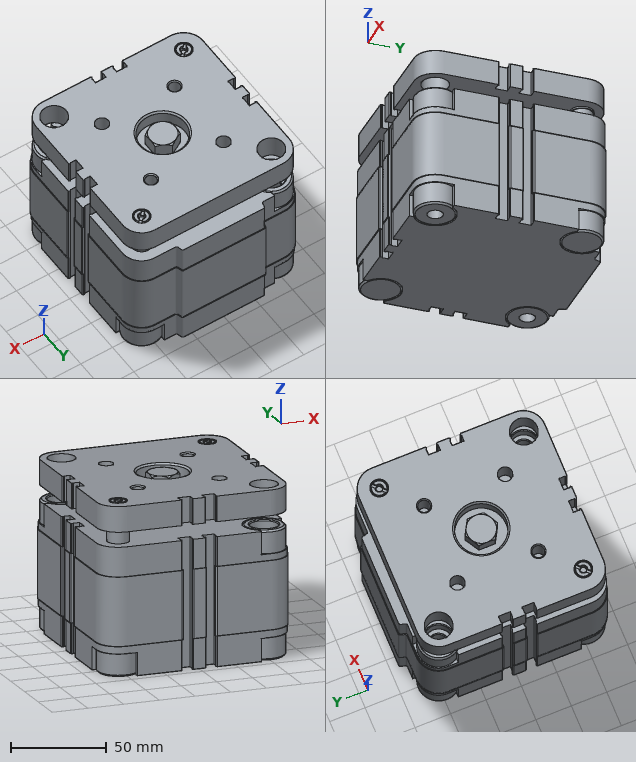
import cadquery as cq
import math

BODY_WIDTH = 106.0
BODY_HEIGHT = 71.0
CORNER_RADIUS = 12.1
BAND_STEP = 0.5
BAND_BOTTOM = 16.9
BAND_TOP = 54.8

RIDGE_HEIGHT = 4.0
RIDGE_TOP_WIDTH = 51.7
RIDGE_BASE_WIDTH = 54.0
RIDGE_FILLET = 1.1
SELECTION_MARGIN = 0.1

SLOT_OFFSET = 6.7
SLOT_HALF_WIDTH = 3.3
SLOT_FLOOR = 48.0
SLOT_SHOULDER = 51.3
LIP = 0.5
BAND_LIP = 1.0

STATION = 40.8

BOSS_RADIUS = 23.0 / 2
BOSS_CHAMFER = 1.0
RELIEF_SIDE = 34.7
RELIEF_HEIGHT = 12.7

MOUNT_DIAMETER = 8.5
THREAD_DIAMETER = 9.8
THREAD_DEPTH = 20.0
THREAD_CHAMFER = 0.5
HEAD_RECESS_DIAMETER = 15.4
HEAD_RECESS_DEPTH = 7.4
HEAD_RECESS_CHAMFER = 0.5

PLATE_WIDTH = 105.0
PLATE_THICKNESS = 14.0
TOTAL_HEIGHT = 93.0
PLATE_BOTTOM = TOTAL_HEIGHT - PLATE_THICKNESS
ACCESS_DIAMETER = 15.0
TAPPED_OFFSET = 22.9
TAPPED_DIAMETER = 6.7
DOWEL_DIAMETER = 8.0
TAPPED_CHAMFER = 0.7
CENTRE_RECESS_DIAMETER = 28.0
CENTRE_RECESS_DEPTH = 8.3
CENTRE_RECESS_CHAMFER = 1.0

PISTON_ROD_DIAMETER = 20.0
FLAT_SPACING = 17.0
FLAT_BOTTOM = 71.8
BOLT_ACROSS_FLATS = 16.0
BOLT_GAP = 0.4
BOLT_CHAMFER_HEIGHT = 1.0

GUIDE_ROD_DIAMETER = 12.0
COLLAR_DIAMETER = 13.0
COLLAR_HEIGHT = 1.0
ROD_DEPTH = 55.5
ROD_BOTTOM = BODY_HEIGHT - ROD_DEPTH
ROD_END_DIAMETER = 9.0
ROD_END_SEAT_DIAMETER = 9.8
ROD_END_CHAMFER = 0.5
ROD_SLOT_WIDTH = 1.8
ROD_SLOT_DEPTH = 1.5
ROD_SOCKET_DIAMETER = 3.5
ROD_SOCKET_CHAMFER = 0.4
ROD_SOCKET_DEPTH = 2.8

ROD_CORNERS = [(1, 1), (-1, -1)]
MOUNT_CORNERS = [(1, -1), (-1, 1)]


def at_offset(corners, offset):
    return [(sx * offset, sy * offset) for sx, sy in corners]


ROD_POINTS = at_offset(ROD_CORNERS, STATION)
MOUNT_POINTS = at_offset(MOUNT_CORNERS, STATION)


def cylinders(points, diameter, bottom, top):
    base = cq.Workplane("XY").workplane(offset=bottom).pushPoints(points)
    return base.circle(diameter / 2).extrude(top - bottom)


def cones(points, bottom_diameter, top_diameter, bottom, top):
    cone = cq.Solid.makeCone(bottom_diameter / 2, top_diameter / 2, top - bottom)
    base = cq.Workplane("XY").workplane(offset=bottom).pushPoints(points)
    return base.eachpoint(cone.moved, combine=True)


def countersinks(points, diameter, chamfer, face):
    """45-degree cones that chamfer the upper rims of holes opening at height face."""
    return cones(points, diameter, diameter + 2 * chamfer, face - chamfer, face)


def rounded_block(width, corner_radius, bottom, top):
    block = cq.Workplane("XY").workplane(offset=bottom).rect(width, width).extrude(top - bottom)
    return block.edges("|Z").fillet(corner_radius)


def slot_cutter(offset, low_lip, high_lip, wall, bottom, top):
    """One T-slot in the -Y wall; each lip is bevelled on its inside and at the mouth."""
    low = offset - SLOT_HALF_WIDTH
    high = offset + SLOT_HALF_WIDTH
    profile = [
        (low, -SLOT_FLOOR),
        (high, -SLOT_FLOOR),
        (high, -SLOT_SHOULDER),
        (high - high_lip, -SLOT_SHOULDER - LIP),
        (high - high_lip, -wall + LIP),
        (high, -wall),
        (low, -wall),
        (low + low_lip, -wall + LIP),
        (low + low_lip, -SLOT_SHOULDER - LIP),
        (low, -SLOT_SHOULDER),
    ]
    return cq.Workplane("XY").workplane(offset=bottom).polyline(profile).close().extrude(top - bottom)


def slot_cutters(wide_lip, wall, bottom, top):
    """Two T-slots in each of three walls; the wide lips are the outer ones on -Y and the +Y ones on X."""
    front = slot_cutter(SLOT_OFFSET, LIP, wide_lip, wall, bottom, top)
    front = front.union(front.mirror("YZ"))
    side = slot_cutter(SLOT_OFFSET, wide_lip, LIP, wall, bottom, top)
    side = side.union(slot_cutter(-SLOT_OFFSET, wide_lip, LIP, wall, bottom, top))
    side = side.rotate((0, 0, 0), (0, 0, 1), -90)
    return front.union(side).union(side.mirror("YZ"))


def ridged_section(width, corner_radius, wide_lip, bottom, top):
    """One height of the housing: rounded square, ridge on +Y and T-slots on the other walls."""
    wall = width / 2
    grow = (width - BODY_WIDTH) / 2
    half_top = RIDGE_TOP_WIDTH / 2 + grow
    half_base = RIDGE_BASE_WIDTH / 2 + grow
    crest = wall + RIDGE_HEIGHT
    ridge = (
        cq.Workplane("XY").workplane(offset=bottom)
        .polyline([(-half_base, 0), (-half_base, wall), (-half_top, crest),
                   (half_top, crest), (half_base, wall), (half_base, 0)])
        .close().extrude(top - bottom)
    )
    section = rounded_block(width, corner_radius, bottom, top).union(ridge)
    ridge_edges = cq.selectors.BoxSelector(
        (-half_base - SELECTION_MARGIN, wall - SELECTION_MARGIN, bottom),
        (half_base + SELECTION_MARGIN, crest + SELECTION_MARGIN, top),
    )
    section = section.edges("|Z").edges(ridge_edges).fillet(RIDGE_FILLET)
    return section.cut(slot_cutters(wide_lip, wall, bottom, top))


def corner_relief(sx, sy, face, inward):
    """Relief around a round corner boss, from an end face; inward is +1 or -1 along Z."""
    reach = BODY_WIDTH / 2
    centre = (sx * STATION, sy * STATION)
    square = (
        cq.Workplane("XY").workplane(offset=face)
        .center(sx * (RELIEF_SIDE + reach / 2), sy * (RELIEF_SIDE + reach / 2))
        .rect(reach, reach).extrude(inward * RELIEF_HEIGHT)
    )
    boss = cq.Workplane("XY").workplane(offset=face).center(*centre).circle(BOSS_RADIUS)
    relief = square.cut(boss.extrude(inward * RELIEF_HEIGHT))
    chamfer_groove = (
        cq.Workplane("XZ")
        .polyline([(BOSS_RADIUS - BOSS_CHAMFER, face), (BOSS_RADIUS, face),
                   (BOSS_RADIUS, face + inward * BOSS_CHAMFER)])
        .close().revolve(360, (0, 0), (0, 1))
        .translate((*centre, 0))
    )
    return relief.union(chamfer_groove)


def mounting_holes():
    """Stepped holes right through the housing: head recess, thread and clearance bore."""
    recess_floor = BODY_HEIGHT - HEAD_RECESS_DEPTH
    holes = cylinders(MOUNT_POINTS, MOUNT_DIAMETER, 0, BODY_HEIGHT)
    holes = holes.union(cylinders(MOUNT_POINTS, THREAD_DIAMETER, recess_floor - THREAD_DEPTH, BODY_HEIGHT))
    holes = holes.union(cylinders(MOUNT_POINTS, HEAD_RECESS_DIAMETER, recess_floor, BODY_HEIGHT))
    holes = holes.union(countersinks(MOUNT_POINTS, THREAD_DIAMETER, THREAD_CHAMFER, recess_floor))
    return holes.union(
        countersinks(MOUNT_POINTS, HEAD_RECESS_DIAMETER, HEAD_RECESS_CHAMFER, BODY_HEIGHT)
    )


def make_housing():
    housing = ridged_section(BODY_WIDTH, CORNER_RADIUS, LIP, 0, BODY_HEIGHT)
    band = ridged_section(BODY_WIDTH + 2 * BAND_STEP, CORNER_RADIUS + BAND_STEP, BAND_LIP,
                          BAND_BOTTOM, BAND_TOP)
    housing = housing.union(band)
    for sx, sy in ROD_CORNERS + MOUNT_CORNERS:
        housing = housing.cut(corner_relief(sx, sy, 0, 1))
    for sx, sy in MOUNT_CORNERS:
        housing = housing.cut(corner_relief(sx, sy, BODY_HEIGHT, -1))
    housing = housing.cut(mounting_holes())
    housing = housing.cut(cylinders(ROD_POINTS, GUIDE_ROD_DIAMETER, ROD_BOTTOM, BODY_HEIGHT))
    return housing.cut(cylinders([(0, 0)], PISTON_ROD_DIAMETER, ROD_BOTTOM, BODY_HEIGHT))


def make_plate():
    plate = rounded_block(PLATE_WIDTH, CORNER_RADIUS, PLATE_BOTTOM, TOTAL_HEIGHT)
    plate = plate.cut(slot_cutters(LIP, PLATE_WIDTH / 2, PLATE_BOTTOM, TOTAL_HEIGHT))
    plate = plate.cut(cylinders(MOUNT_POINTS, ACCESS_DIAMETER, PLATE_BOTTOM, TOTAL_HEIGHT))
    tapped = at_offset(ROD_CORNERS, TAPPED_OFFSET)
    plate = plate.cut(cylinders(tapped, TAPPED_DIAMETER, PLATE_BOTTOM, TOTAL_HEIGHT))
    plate = plate.cut(countersinks(tapped, TAPPED_DIAMETER, TAPPED_CHAMFER, TOTAL_HEIGHT))
    dowels = at_offset(MOUNT_CORNERS, TAPPED_OFFSET)
    plate = plate.cut(cylinders(dowels, DOWEL_DIAMETER, PLATE_BOTTOM, TOTAL_HEIGHT))
    recess_floor = TOTAL_HEIGHT - CENTRE_RECESS_DEPTH
    plate = plate.cut(cylinders([(0, 0)], CENTRE_RECESS_DIAMETER, recess_floor, TOTAL_HEIGHT))
    return plate.cut(
        countersinks([(0, 0)], CENTRE_RECESS_DIAMETER, CENTRE_RECESS_CHAMFER, TOTAL_HEIGHT)
    )


def make_piston_rod():
    """Round rod with two wrench flats just under the plate."""
    rod = cylinders([(0, 0)], PISTON_ROD_DIAMETER, ROD_BOTTOM, PLATE_BOTTOM)
    beyond = PISTON_ROD_DIAMETER
    for side in (1, -1):
        flat = (
            cq.Workplane("XY").workplane(offset=FLAT_BOTTOM)
            .center(0, side * (FLAT_SPACING + beyond) / 2)
            .rect(beyond, beyond).extrude(PLATE_BOTTOM - FLAT_BOTTOM)
        )
        rod = rod.cut(flat)
    return rod


def make_bolt_head():
    """Hexagon with flats on +X and -X, its top corners turned down to a cone."""
    bottom = TOTAL_HEIGHT - CENTRE_RECESS_DEPTH
    top = TOTAL_HEIGHT - BOLT_GAP
    across_corners = BOLT_ACROSS_FLATS / math.cos(math.pi / 6)
    head = (
        cq.Workplane("XY").workplane(offset=bottom)
        .polygon(6, across_corners).extrude(top - bottom)
        .rotate((0, 0, 0), (0, 0, 1), 30)
    )
    shoulder = top - BOLT_CHAMFER_HEIGHT
    turned = cylinders([(0, 0)], across_corners, bottom, shoulder)
    turned = turned.union(cones([(0, 0)], across_corners, BOLT_ACROSS_FLATS, shoulder, top))
    return head.intersect(turned)


def cut_rod_ends(plate):
    """Finish the guide rod ends at the plate top: seat groove, driver slot and socket."""
    seat_depth = (ROD_END_SEAT_DIAMETER - ROD_END_DIAMETER) / 2
    groove_profile = [
        (ROD_END_DIAMETER / 2 - ROD_END_CHAMFER, TOTAL_HEIGHT),
        (ROD_END_SEAT_DIAMETER / 2, TOTAL_HEIGHT),
        (ROD_END_DIAMETER / 2, TOTAL_HEIGHT - seat_depth),
        (ROD_END_DIAMETER / 2, TOTAL_HEIGHT - ROD_END_CHAMFER),
    ]
    groove = cq.Workplane("XZ").polyline(groove_profile).close().revolve(360, (0, 0), (0, 1))
    slot = (
        cq.Workplane("XY").workplane(offset=TOTAL_HEIGHT)
        .transformed(rotate=(0, 0, 45))
        .rect(ROD_END_DIAMETER, ROD_SLOT_WIDTH).extrude(-ROD_SLOT_DEPTH)
    )
    for x, y in ROD_POINTS:
        plate = plate.cut(groove.translate((x, y, 0))).cut(slot.translate((x, y, 0)))
    plate = plate.cut(countersinks(ROD_POINTS, ROD_SOCKET_DIAMETER, ROD_SOCKET_CHAMFER, TOTAL_HEIGHT))
    socket_floor = TOTAL_HEIGHT - ROD_SOCKET_DEPTH
    return plate.cut(cylinders(ROD_POINTS, ROD_SOCKET_DIAMETER, socket_floor, TOTAL_HEIGHT))


def make_carriage():
    """Plate, guide rods, piston rod and bolt head, all moving as one body."""
    carriage = make_plate()
    collar_bottom = PLATE_BOTTOM - COLLAR_HEIGHT
    carriage = carriage.union(cylinders(ROD_POINTS, GUIDE_ROD_DIAMETER, ROD_BOTTOM, PLATE_BOTTOM))
    carriage = carriage.union(cylinders(ROD_POINTS, COLLAR_DIAMETER, collar_bottom, PLATE_BOTTOM))
    carriage = carriage.union(make_piston_rod()).union(make_bolt_head())
    return cut_rod_ends(carriage)


housing = make_housing()
carriage = make_carriage()

result = cq.Compound.makeCompound([housing.val(), carriage.val()])